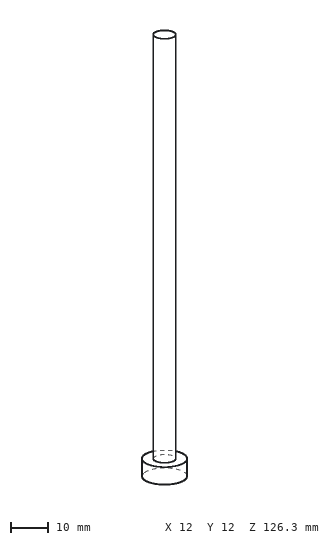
import cadquery as cq

total_length = 126.3
head_diameter = 12.0
head_height = 5.0
shank_diameter = head_diameter / 2

head = cq.Workplane("XY").circle(head_diameter / 2).extrude(head_height)
shank = cq.Workplane("XY").circle(shank_diameter / 2).extrude(total_length)

result = head.union(shank)